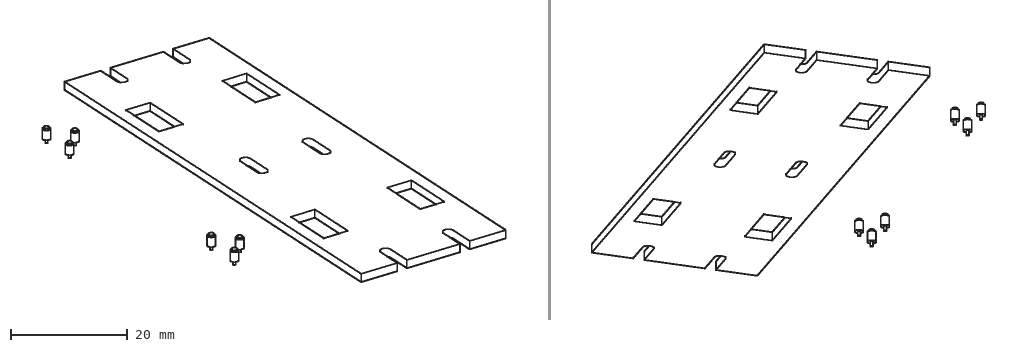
import cadquery as cq

plate_length = 90.0
plate_width = 30.0
plate_thickness = 1.6

window_length = 10.0
window_width = 5.0
window_x = 25.0
window_y = 10.0

slot_width = 2.0
slot_length = 7.0
slot_y = 6.5
notch_depth = 6.0

pin_top = 4.05
stem_diameter = 0.5
stem_length = 0.8
barrel_diameter = 1.5
barrel_length = 1.85
tip_diameter = 1.0
tip_length = 0.3
dome_height = 0.25
dome_radius = ((tip_diameter / 2) ** 2 + dome_height**2) / (2 * dome_height)

pin_pitch = 3.5
group_x = window_x
front_row_y = -plate_width
pin_offsets = [(-pin_pitch, 0), (0, pin_pitch), (pin_pitch, 0)]


def make_plate():
    plate = cq.Workplane("XY").box(
        plate_length, plate_width, plate_thickness, centered=(True, True, False)
    )
    windows = (
        cq.Workplane("XY")
        .rect(2 * window_x, 2 * window_y, forConstruction=True)
        .vertices()
        .rect(window_length, window_width)
        .extrude(plate_thickness)
    )
    middle_slots = (
        cq.Workplane("XY")
        .pushPoints([(0, -slot_y), (0, slot_y)])
        .slot2D(slot_length, slot_width)
        .extrude(plate_thickness)
    )
    end_notches = (
        cq.Workplane("XY")
        .rect(plate_length, 2 * slot_y, forConstruction=True)
        .vertices()
        .slot2D(2 * notch_depth, slot_width)
        .extrude(plate_thickness)
    )
    return plate.cut(windows).cut(middle_slots).cut(end_notches)


def make_pin(x, y):
    """Revolved pin: thin stem, wide barrel and a narrower tip with a domed end."""
    dome_z = pin_top - dome_height
    shoulder_z = dome_z - tip_length
    barrel_z = shoulder_z - barrel_length
    stem_z = barrel_z - stem_length
    profile = (
        cq.Workplane("XZ")
        .moveTo(0, stem_z)
        .lineTo(stem_diameter / 2, stem_z)
        .lineTo(stem_diameter / 2, barrel_z)
        .lineTo(barrel_diameter / 2, barrel_z)
        .lineTo(barrel_diameter / 2, shoulder_z)
        .lineTo(tip_diameter / 2, shoulder_z)
        .lineTo(tip_diameter / 2, dome_z)
        .radiusArc((0, pin_top), -dome_radius)
        .close()
    )
    return profile.revolve(360, (0, 0, 0), (0, 1, 0)).translate((x, y, 0))


plate = make_plate()
pins = [
    make_pin(side * group_x + dx, front_row_y + dy)
    for side in (-1, 1)
    for dx, dy in pin_offsets
]

result = cq.Compound.makeCompound([plate.val(), *[pin.val() for pin in pins]])